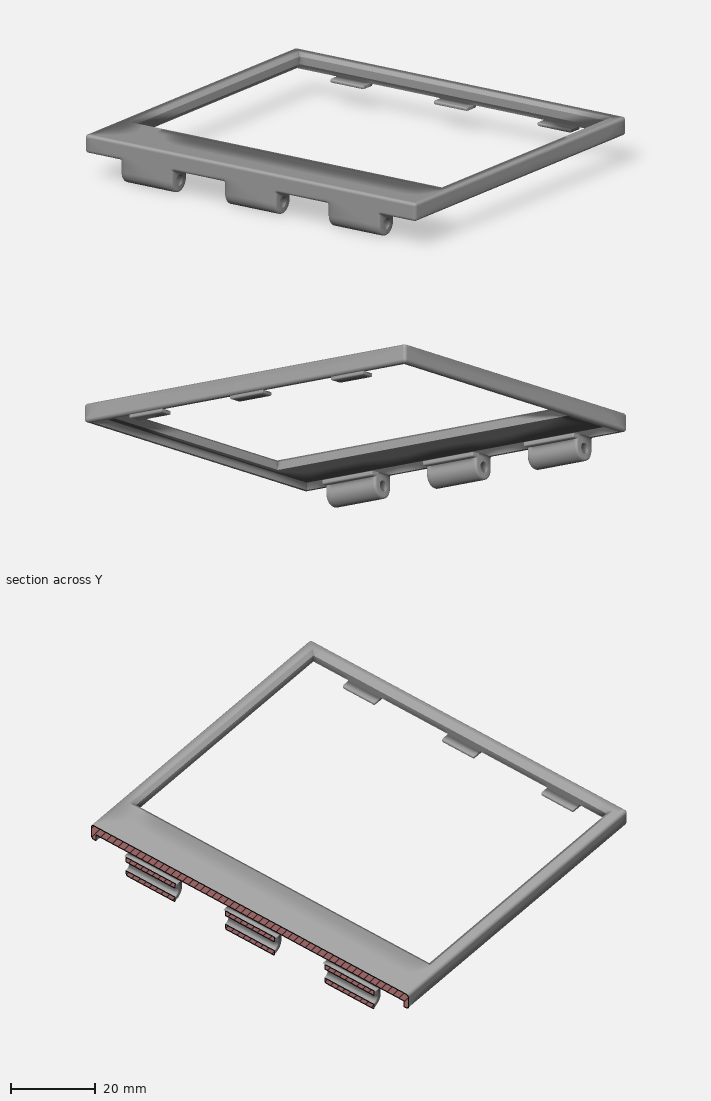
import cadquery as cq

frame_width = 96.0
frame_depth = 86.0
frame_height = 4.5
edge_radius = 0.8

window_width = 88.7
window_front = 15.5
back_bar_depth = 3.5
window_back = frame_depth - back_bar_depth
bevel_run = 1.1
bevel_drop = 0.8

rim_wall = 1.5
lip_thickness = 2.7

station_pitch = 30.0
stations = [-station_pitch, 0.0, station_pitch]
knuckle_width = 15.0
knuckle_radius = 3.0
knuckle_drop = 6.0
knuckle_axis_z = knuckle_radius - knuckle_drop
pin_radius = 1.3
knuckle_end_radius = 0.6
root_radius = 0.5
tab_reach = 7.4
tab_thickness = 1.2

clip_width = 9.8
clip_outer_inset = edge_radius
clip_tip_inset = 4.3
clip_thickness = 0.9

catch_radius = 0.4


def block(width, y_start, y_end, z_bottom, z_top, x_centre=0.0):
    """Axis-aligned block given by its width in X and its limits in Y and Z."""
    corner = (x_centre - width / 2, y_start, z_bottom)
    size = (width, y_end - y_start, z_top - z_bottom)
    return cq.Workplane("XY").box(*size, centered=False).translate(corner)


def rounded_frame():
    """Solid plate with short roots for the knuckles, rounded on its outer edges."""
    frame = block(frame_width, 0, frame_depth, 0, frame_height)
    root_back = 2 * knuckle_radius - edge_radius
    for x in stations:
        frame = frame.union(block(knuckle_width, 0, root_back, knuckle_axis_z, 0, x))

    for x in stations:
        for x_end in (x - knuckle_width / 2, x + knuckle_width / 2):
            corner = cq.selectors.NearestToPointSelector((x_end, root_back / 2, 0))
            frame = frame.edges(corner).fillet(root_radius)

    frame = frame.edges("|Z and (<X or >X)").fillet(edge_radius)
    frame = frame.faces(">Z").edges().fillet(edge_radius)

    lower_runs = [(0, frame_depth, 0), (-station_pitch / 2, 0, 0), (station_pitch / 2, 0, 0)]
    for point in lower_runs:
        frame = frame.edges(cq.selectors.NearestToPointSelector(point)).fillet(edge_radius)
    return frame


def knuckle(x_centre):
    """U-shaped hinge knuckle, flush with the front face, with rounded ends."""
    diameter = 2 * knuckle_radius
    body = (
        cq.Workplane("YZ", origin=(x_centre, 0, 0))
        .lineTo(0, knuckle_axis_z)
        .threePointArc((knuckle_radius, -knuckle_drop), (diameter, knuckle_axis_z))
        .lineTo(diameter, 0)
        .close()
        .extrude(knuckle_width / 2, both=True)
    )
    ends = body.faces("<X or >X").edges("not >Z")
    return ends.fillet(knuckle_end_radius)


def window():
    """Cutter for the window, flaring outwards over the bevel at the top face."""
    opening = block(window_width, window_front, window_back, 0, frame_height)
    bevel = (
        cq.Workplane("XY", origin=(0, (window_front + window_back) / 2, frame_height - bevel_drop))
        .rect(window_width, window_back - window_front)
        .workplane(offset=bevel_drop)
        .rect(window_width + 2 * bevel_run, window_back - window_front + 2 * bevel_run)
        .loft()
    )
    return opening.union(bevel)


def clip(x_centre):
    """Flat clip under the back rim, reaching forward past the window edge."""
    tip = frame_depth - clip_tip_inset
    outer_end = frame_depth - clip_outer_inset
    plate = block(clip_width, tip, outer_end, -clip_thickness, 0, x_centre)
    return plate.edges("<Y or <Z").fillet(catch_radius)


def tab(x_centre):
    """Retaining tab that stands out behind a knuckle, level with its top."""
    plate = block(knuckle_width, knuckle_radius, tab_reach, -tab_thickness, 0, x_centre)
    return plate.edges(">Y or <Z").fillet(catch_radius)


result = rounded_frame()
for x in stations:
    result = result.union(knuckle(x))

pocket_width = frame_width - 2 * rim_wall
pocket = block(pocket_width, rim_wall, frame_depth - rim_wall, 0, frame_height - lip_thickness)
result = result.cut(pocket)
result = result.cut(window())

for x in stations:
    result = result.union(tab(x))
    result = result.union(clip(x))

pin_bore = (
    cq.Workplane("YZ", origin=(0, knuckle_radius, knuckle_axis_z))
    .circle(pin_radius)
    .extrude(frame_width / 2, both=True)
)
result = result.cut(pin_bore)